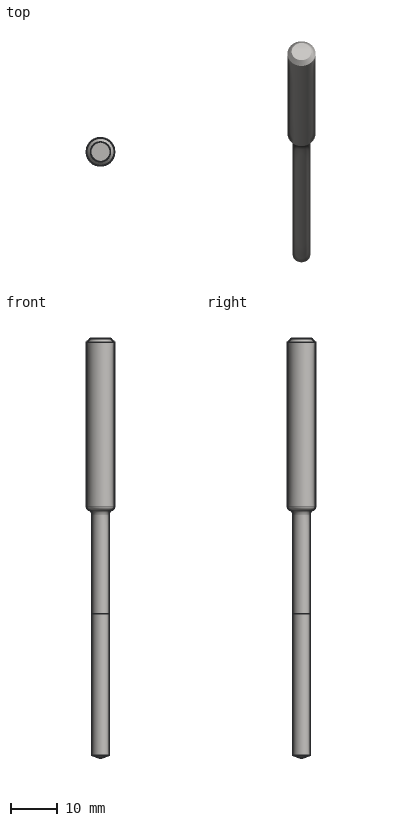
import cadquery as cq
import math

total_length = 90.0
shank_diameter = 6.0
drill_diameter = 3.8

point_angle = 140.0
cutting_length = 31.0

shank_bottom = 54.0
shank_edge_radius = 0.9
neck_fillet_radius = 0.7
end_chamfer = 0.9

shank_radius = shank_diameter / 2
drill_radius = drill_diameter / 2
point_height = drill_radius / math.tan(math.radians(point_angle / 2))


def make_cutting_end():
    """Cylindrical cutting end with a conical point at the origin."""
    return (
        cq.Workplane("XZ")
        .lineTo(drill_radius, point_height)
        .lineTo(drill_radius, cutting_length)
        .lineTo(0, cutting_length)
        .close()
        .revolve(360, (0, 0), (0, 1))
    )


def make_holder():
    """Thick shank with a chamfered top, S-curved shoulder and slim neck."""
    radius_sum = shank_edge_radius + neck_fillet_radius
    arc_angle = math.acos(1 - (shank_radius - drill_radius) / radius_sum)
    neck_top = shank_bottom - radius_sum * math.sin(arc_angle)

    def edge_point(angle):
        return (
            shank_radius - shank_edge_radius * (1 - math.cos(angle)),
            shank_bottom - shank_edge_radius * math.sin(angle),
        )

    def fillet_point(angle):
        return (
            drill_radius + neck_fillet_radius * (1 - math.cos(angle)),
            neck_top + neck_fillet_radius * math.sin(angle),
        )

    return (
        cq.Workplane("XZ")
        .moveTo(0, cutting_length)
        .lineTo(drill_radius, cutting_length)
        .lineTo(drill_radius, neck_top)
        .threePointArc(fillet_point(arc_angle / 2), fillet_point(arc_angle))
        .threePointArc(edge_point(arc_angle / 2), (shank_radius, shank_bottom))
        .lineTo(shank_radius, total_length - end_chamfer)
        .lineTo(shank_radius - end_chamfer, total_length)
        .lineTo(0, total_length)
        .close()
        .revolve(360, (0, 0), (0, 1))
    )


cutting_end = make_cutting_end()
holder = make_holder()
result = cq.Compound.makeCompound([cutting_end.val(), holder.val()])